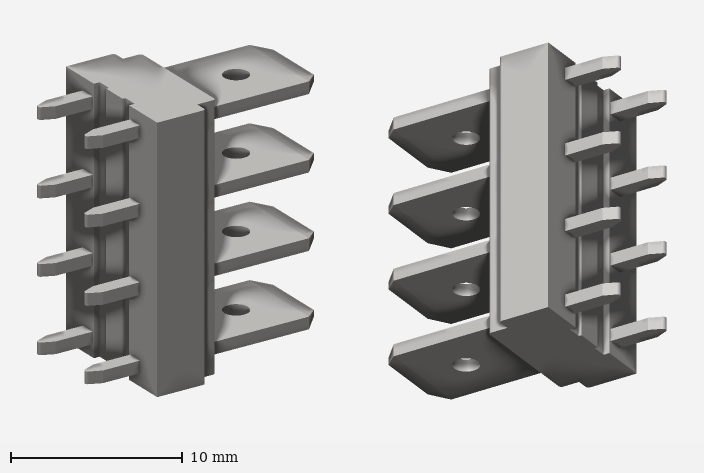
import cadquery as cq

contact_count = 4
body_height = 17.5
contact_pitch = body_height / 3.5
first_contact_z = (body_height - (contact_count - 1) * contact_pitch) / 2
contact_thickness = 0.8

body_width = 9.7
shoulder_y = 3.4
upper_width = 7.88
body_top_y = 4.69
corner_radius = 0.2

recess_width = 3.71
groove_depth = 0.4
middle_width = 1.75
middle_depth = 0.21

pin_length = 3.5
pin_spacing = contact_pitch
pin_width = 1.03
pin_taper_length = 0.91
pin_tip_width = 0.38
pin_tip_height = 0.14

overall_depth = 16.2
blade_end_y = overall_depth - pin_length
blade_width = 6.3
lead_in_length = 1.0
blade_end_thickness = 0.45
hole_diameter = 1.65
hole_from_end = 4.0

root_y = body_top_y / 2


def make_block(width, y_start, y_end):
    """Block centred on X, running the full height of the body."""
    return (
        cq.Workplane("XY")
        .center(0, (y_start + y_end) / 2)
        .rect(width, y_end - y_start)
        .extrude(body_height)
    )


def make_body():
    """Stepped body with rounded shoulders and a recessed mounting face."""
    lower = make_block(body_width, 0, shoulder_y).edges("|Z and >Y").fillet(corner_radius)
    upper = make_block(upper_width, middle_depth, body_top_y).edges("|Z and >Y").fillet(corner_radius)
    recess = make_block(recess_width, 0, groove_depth)
    middle = make_block(middle_width, middle_depth, groove_depth)
    return lower.union(upper).cut(recess).union(middle)


def make_blade():
    """Flat blade with a cross hole and an end tapered in width and thickness."""
    half_width = blade_width / 2
    half_thickness = contact_thickness / 2
    taper_start_y = blade_end_y - lead_in_length

    plan = (
        cq.Workplane("XY")
        .moveTo(-half_width, root_y)
        .lineTo(half_width, root_y)
        .lineTo(half_width, taper_start_y)
        .lineTo(half_width - lead_in_length, blade_end_y)
        .lineTo(lead_in_length - half_width, blade_end_y)
        .lineTo(-half_width, taper_start_y)
        .close()
        .extrude(half_thickness, both=True)
    )
    side_profile = (
        cq.Workplane("YZ")
        .moveTo(root_y, -half_thickness)
        .lineTo(taper_start_y, -half_thickness)
        .lineTo(blade_end_y, -blade_end_thickness / 2)
        .lineTo(blade_end_y, blade_end_thickness / 2)
        .lineTo(taper_start_y, half_thickness)
        .lineTo(root_y, half_thickness)
        .close()
        .extrude(half_width, both=True)
    )
    hole = (
        cq.Workplane("XY")
        .center(0, blade_end_y - hole_from_end)
        .circle(hole_diameter / 2)
        .extrude(contact_thickness, both=True)
    )
    return plan.intersect(side_profile).cut(hole)


def make_pin(x):
    """Flat pin with tapered sides and a rounded tip."""
    half_width = pin_width / 2
    half_tip = pin_tip_width / 2
    taper_start_y = pin_taper_length - pin_length
    tip_start_y = pin_tip_height - pin_length
    return (
        cq.Workplane("XY")
        .center(x, 0)
        .moveTo(half_width, root_y)
        .lineTo(-half_width, root_y)
        .lineTo(-half_width, taper_start_y)
        .lineTo(-half_tip, tip_start_y)
        .threePointArc((0, -pin_length), (half_tip, tip_start_y))
        .lineTo(half_width, taper_start_y)
        .close()
        .extrude(contact_thickness / 2, both=True)
    )


contact_parts = [
    make_blade(),
    make_pin(-pin_spacing / 2),
    make_pin(pin_spacing / 2),
]

result = make_body()
for index in range(contact_count):
    contact_z = first_contact_z + index * contact_pitch
    for contact_part in contact_parts:
        result = result.union(contact_part.translate((0, 0, contact_z)))